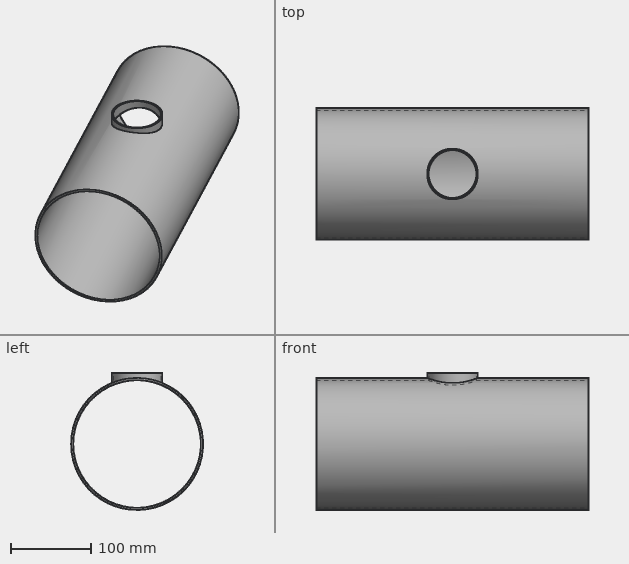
import cadquery as cq

pipe_length = 340.0
pipe_outer_diameter = 165.2
pipe_inner_diameter = 159.2

branch_outer_diameter = 63.5
branch_inner_diameter = 59.5
overall_height = 171.6
branch_top = overall_height - pipe_outer_diameter / 2


def pipe_cylinder(diameter):
    """Solid cylinder along X, centred on the origin."""
    return cq.Workplane("YZ").circle(diameter / 2).extrude(pipe_length / 2, both=True)


def branch_cylinder(diameter):
    """Solid cylinder along Z, from the pipe axis up to the branch rim."""
    return cq.Workplane("XY").circle(diameter / 2).extrude(branch_top)


outer_body = pipe_cylinder(pipe_outer_diameter).union(branch_cylinder(branch_outer_diameter))
pipe_bore = pipe_cylinder(pipe_inner_diameter)
branch_bore = branch_cylinder(branch_inner_diameter)

result = outer_body.cut(pipe_bore).cut(branch_bore)